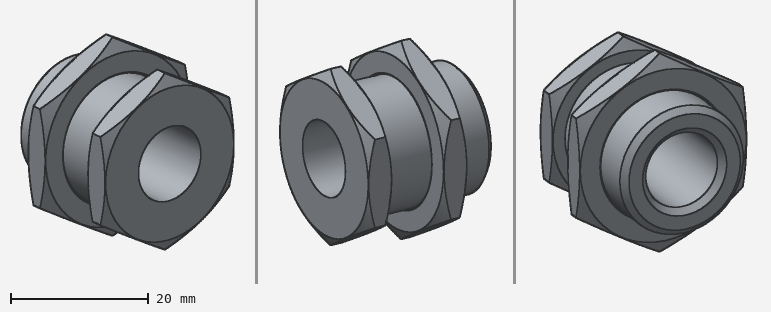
import cadquery as cq
import math

length = 23.0
barrel_diameter = 20.0
entry_chamfer = 1.0
bore_diameter = 11.6
bore_chamfer = 1.0

head_thickness = 4.02
head_across_flats = 24.0
nut_across_flats = 27.0
nut_thickness = 4.0
nut_start = 7.0
nut_countersink = 0.25

corner_bevel_angle = 30.0
bevel_circle_inset = 0.15


def cylinder(diameter, start, depth):
    return cq.Workplane("YZ", origin=(start, 0, 0)).circle(diameter / 2).extrude(depth)


def beveled_hexagon(across_flats, start, thickness):
    """Hexagonal plate with corners up and down, both ends turned to a cone."""
    across_corners = across_flats / math.cos(math.radians(30))
    corner_radius = across_corners / 2
    face_radius = (across_flats - bevel_circle_inset) / 2
    bevel_depth = (corner_radius - face_radius) * math.tan(math.radians(corner_bevel_angle))
    end = start + thickness

    hexagon = (
        cq.Workplane("YZ", origin=(start, 0, 0))
        .transformed(rotate=(0, 0, 90))
        .polygon(6, across_corners)
        .extrude(thickness)
    )
    turned_blank = (
        cq.Workplane("XY")
        .moveTo(start, 0)
        .lineTo(start, face_radius)
        .lineTo(start + bevel_depth, corner_radius)
        .lineTo(end - bevel_depth, corner_radius)
        .lineTo(end, face_radius)
        .lineTo(end, 0)
        .close()
        .revolve(360, (0, 0, 0), (1, 0, 0))
    )
    return hexagon.intersect(turned_blank)


def make_fitting():
    """Barrel with a hexagonal head at the far end and a through bore."""
    barrel = cylinder(barrel_diameter, 0, length).faces("<X").chamfer(entry_chamfer)
    head = beveled_hexagon(head_across_flats, length - head_thickness, head_thickness)
    bored = barrel.union(head).cut(cylinder(bore_diameter, 0, length))
    bore_rim = bored.faces("<X").edges(cq.selectors.RadiusNthSelector(0))
    return bore_rim.chamfer(bore_chamfer)


def make_nut():
    """Hexagonal lock nut fitting around the barrel, its hole countersunk at both ends."""
    blank = beveled_hexagon(nut_across_flats, nut_start, nut_thickness)
    bored = blank.cut(cylinder(barrel_diameter, nut_start, nut_thickness))
    hole_rims = bored.faces("<X or >X").edges(cq.selectors.RadiusNthSelector(0))
    return hole_rims.chamfer(nut_countersink)


fitting = make_fitting()
nut = make_nut()
result = cq.Compound.makeCompound([fitting.val(), nut.val()])